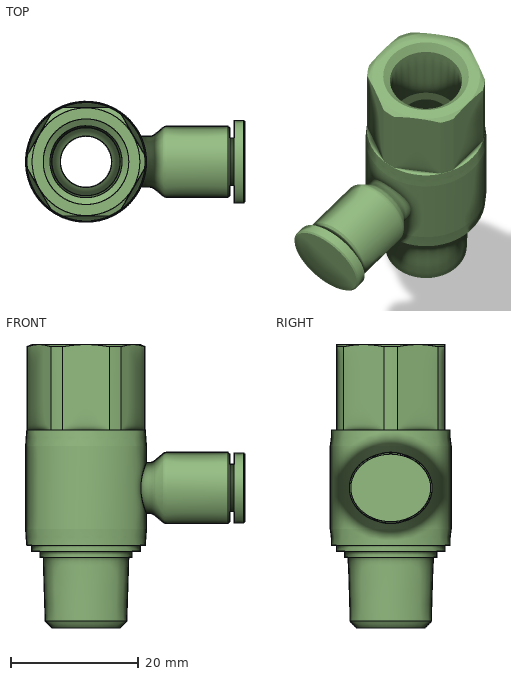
import cadquery as cq
import math

overall_length = 34.45
total_height = 44.5

hex_bottom = 31.1
body_bottom = 12.95
body_taper_height = 2.6
collar_bottom = 12.0
thread_top = 11.1

body_radius = 19.0 / 2
body_end_radius = 9.3
collar_radius = 8.55
shoulder_radius = 7.25

thread_taper = 1 / 32
thread_top_radius = 6.7
tip_radius = 5.35
tip_height = 1.05

hex_across_flats = 17.0
hex_corner_radius = 9.25
hex_top_radius = 8.45
hex_chamfer_height = 0.35

passage_radius = 4.0
socket_mouth_radius = 6.7
socket_radius = 5.65
socket_chamfer_height = socket_mouth_radius - socket_radius
socket_depth = thread_top

port_height = 22.0
neck_radius = 4.0
port_radius = 5.6
cone_start = 10.4
cone_end = 12.35
cone_blend_radius = 1.02
port_end = 22.55
port_chamfer = 0.3

stem_radius = 3.75
button_start = 23.25
button_end = overall_length - body_radius
button_half_width = 6.5
button_half_height = 5.5
button_chamfer = 0.22


def revolve_about_z(points):
    """Solid of revolution from (radius, z) points, closed along the Z axis."""
    return cq.Workplane("XZ").polyline(points).close().revolve(360, (0, 0, 0), (0, 1, 0))


def across_port(x):
    """Workplane facing +X, centred on the port axis at the given X."""
    return cq.Workplane("YZ", origin=(x, 0, port_height))


def make_body():
    """Round body with its collar, shoulder and tapered thread, as one turned shape."""
    tip_edge_radius = thread_top_radius - thread_taper * (thread_top - tip_height)
    return revolve_about_z([
        (0, 0),
        (tip_radius, 0),
        (tip_edge_radius, tip_height),
        (thread_top_radius, thread_top),
        (shoulder_radius, thread_top),
        (shoulder_radius, collar_bottom),
        (collar_radius, collar_bottom),
        (collar_radius, body_bottom),
        (body_end_radius, body_bottom),
        (body_radius, body_bottom + body_taper_height),
        (body_radius, hex_bottom - body_taper_height),
        (body_end_radius, hex_bottom),
        (0, hex_bottom),
    ])


def make_hex():
    """Hexagon with two corners on X, its corners cut back by a turned envelope."""
    across_corners = hex_across_flats / math.cos(math.radians(30))
    prism = (
        cq.Workplane("XY", origin=(0, 0, hex_bottom))
        .polygon(6, across_corners)
        .extrude(total_height - hex_bottom)
    )
    turned_envelope = revolve_about_z([
        (0, hex_bottom),
        (hex_corner_radius, hex_bottom),
        (hex_corner_radius, total_height - hex_chamfer_height),
        (hex_top_radius, total_height),
        (0, total_height),
    ])
    return prism.intersect(turned_envelope)


def make_port():
    """Neck, blended cone, barrel and button stem, as one turned shape."""
    barrel = (
        cq.Workplane("XZ", origin=(0, 0, port_height))
        .moveTo(0, 0)
        .lineTo(0, neck_radius)
        .lineTo(cone_start, neck_radius)
        .lineTo(cone_end, port_radius)
        .lineTo(port_end, port_radius)
        .lineTo(port_end, 0)
        .close()
        .revolve(360, (0, 0, 0), (1, 0, 0))
    )
    barrel = barrel.faces("%CONE").edges("%CIRCLE").fillet(cone_blend_radius)
    barrel = barrel.faces(">X").edges().chamfer(port_chamfer)
    stem = across_port(port_end).circle(stem_radius).extrude(button_start - port_end)
    return barrel.union(stem)


def make_button():
    """Oval release button, wider along Y than it is high."""
    return (
        across_port(button_start)
        .ellipse(button_half_width, button_half_height)
        .extrude(button_end - button_start)
        .faces(">X")
        .edges()
        .chamfer(button_chamfer)
    )


def make_passage():
    """Space inside the part: through passage, tapered socket and mouth chamfer."""
    socket_bottom = total_height - socket_depth
    chamfer_bottom = total_height - socket_chamfer_height
    socket_end_radius = socket_radius - thread_taper * (chamfer_bottom - socket_bottom)
    return revolve_about_z([
        (0, 0),
        (passage_radius, 0),
        (passage_radius, socket_bottom),
        (socket_end_radius, socket_bottom),
        (socket_radius, chamfer_bottom),
        (socket_mouth_radius, total_height),
        (0, total_height),
    ])


result = (
    make_body()
    .union(make_hex())
    .union(make_port())
    .union(make_button())
    .cut(make_passage())
)